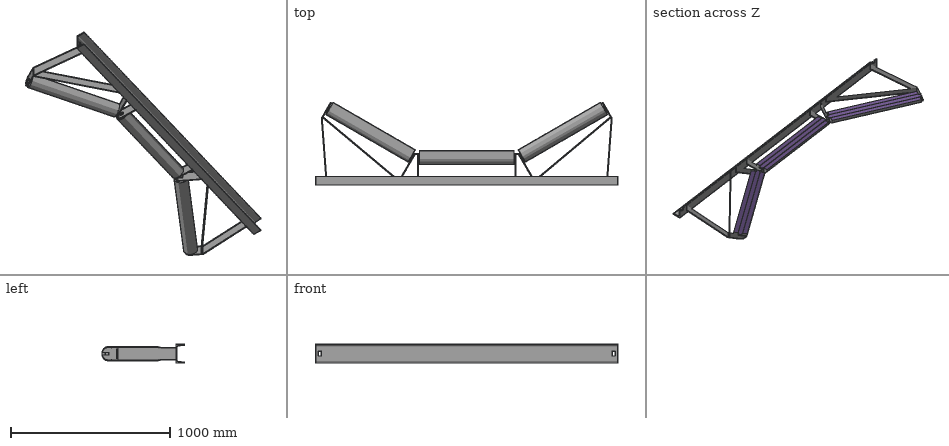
import cadquery as cq
import math


BEAM_LENGTH = 1900.0
BEAM_HEIGHT = 120.0
BEAM_DEPTH = 55.0
WEB_THICKNESS = 8.0
FLANGE_ROOT = 11.0
FLANGE_TIP = 8.0
ROOT_RADIUS = 8.0
TIP_RADIUS = 4.0

SLOT_WIDTH = 17.0
SLOT_HEIGHT = 28.0
SLOT_END_DISTANCE = 27.0

ROLLER_LENGTH = 597.0
ROLLER_DIAMETER = 90.0
SHAFT_RADIUS = 12.4
SHAFT_FLATS = 17.0
CENTRE_AXIS_Y = 173.0
SIDE_CENTRE_X = 605.0
SIDE_CENTRE_Y = 332.0
TROUGH_ANGLE = 30.0

STRIP_WIDTH = 76.0
STRUT_WIDTH = 60.0
STRIP_THICKNESS = 6.0
CENTRE_GAP = 4.0
SIDE_GAP = 8.0
BRIDGE_Y = 195.0
BEND_DROP = 78.0
STRUT_DROP = 68.0
POST_FOOT_X = 884.0
STRUT_FOOT_X = 456.0
WELD_DEPTH = 4.0

FOOT_Y = BEAM_DEPTH - WELD_DEPTH
CENTRE_PLATE_OFFSET = ROLLER_LENGTH / 2 + CENTRE_GAP + STRIP_THICKNESS / 2
SIDE_PLATE_OFFSET = ROLLER_LENGTH / 2 + SIDE_GAP + STRIP_THICKNESS / 2
COS_TROUGH = math.cos(math.radians(TROUGH_ANGLE))
SIN_TROUGH = math.sin(math.radians(TROUGH_ANGLE))


def place_on_right(body):
    """Move a body from the origin, axis along X, to the tilted right-hand roller axis."""
    tilted = body.rotate((0, 0, 0), (0, 0, 1), TROUGH_ANGLE)
    return tilted.translate((SIDE_CENTRE_X, SIDE_CENTRE_Y, 0))


def right_point(along, across):
    """Point (x, y) at a distance along and across the right-hand roller axis."""
    x = SIDE_CENTRE_X + along * COS_TROUGH - across * SIN_TROUGH
    y = SIDE_CENTRE_Y + along * SIN_TROUGH + across * COS_TROUGH
    return x, y


def cylinder(radius, length):
    """Solid cylinder centred on the origin with its axis along X."""
    return cq.Workplane("YZ").circle(radius).extrude(length).translate((-length / 2, 0, 0))


def mirrored(body):
    """The left-hand copy of a right-hand body."""
    return body.mirror("YZ")


def make_roller():
    """Roller bored for its shaft, centred on the origin with its axis along X."""
    return cylinder(ROLLER_DIAMETER / 2, ROLLER_LENGTH).cut(cylinder(SHAFT_RADIUS, ROLLER_LENGTH))


def make_shaft(gap):
    """Round shaft, flattened outside the roller where it spans the gap and the bracket plate."""
    end_length = gap + STRIP_THICKNESS
    shaft = cylinder(SHAFT_RADIUS, ROLLER_LENGTH + 2 * end_length)
    end_middle = (ROLLER_LENGTH + end_length) / 2
    flat_depth = SHAFT_RADIUS - SHAFT_FLATS / 2
    flat_middle = SHAFT_FLATS / 2 + flat_depth / 2
    for end in (-1, 1):
        for side in (-1, 1):
            flat = cq.Workplane("XY").box(end_length, 2 * SHAFT_RADIUS, flat_depth)
            shaft = shaft.cut(flat.translate((end * end_middle, 0, side * flat_middle)))
    return shaft


def make_strip(points, width):
    """Flat strip folded along a path in the XY plane, with round outer bends."""
    strip = None
    for start, end in zip(points, points[1:]):
        run = math.dist(start, end)
        angle = math.degrees(math.atan2(end[1] - start[1], end[0] - start[0]))
        leg = (
            cq.Workplane("XY")
            .box(run, STRIP_THICKNESS, width, centered=(False, True, True))
            .rotate((0, 0, 0), (0, 0, 1), angle)
            .translate((start[0], start[1], 0))
        )
        strip = leg if strip is None else strip.union(leg)
    for x, y in points[1:-1]:
        bend = cq.Workplane("XY").circle(STRIP_THICKNESS / 2).extrude(width)
        strip = strip.union(bend.translate((x, y, -width / 2)))
    return strip


def make_beam():
    """Channel with tapered flanges, rounded roots and tips, and a mounting slot at each end."""
    half_height = BEAM_HEIGHT / 2
    web_face = BEAM_DEPTH - WEB_THICKNESS
    section = [
        (BEAM_DEPTH, -half_height),
        (BEAM_DEPTH, half_height),
        (0, half_height),
        (0, half_height - FLANGE_TIP),
        (web_face, half_height - FLANGE_ROOT),
        (web_face, FLANGE_ROOT - half_height),
        (0, FLANGE_TIP - half_height),
        (0, -half_height),
    ]
    beam = cq.Workplane("YZ").polyline(section).close().extrude(BEAM_LENGTH)
    beam = beam.translate((-BEAM_LENGTH / 2, 0, 0))
    for side in (-1, 1):
        root = (0, web_face, side * (half_height - FLANGE_ROOT))
        tip = (0, 0, side * (half_height - FLANGE_TIP))
        beam = beam.edges(cq.selectors.NearestToPointSelector(root)).fillet(ROOT_RADIUS)
        beam = beam.edges(cq.selectors.NearestToPointSelector(tip)).fillet(TIP_RADIUS)
        slot = cq.Workplane("XY").box(SLOT_WIDTH, 2 * BEAM_DEPTH, SLOT_HEIGHT)
        beam = beam.cut(slot.translate((side * (BEAM_LENGTH / 2 - SLOT_END_DISTANCE), BEAM_DEPTH, 0)))
    return beam


def make_inner_bracket():
    """Folded strip that carries the centre roller and the low end of the right-hand roller."""
    low_end_y = right_point(-SIDE_PLATE_OFFSET, 0)[1]
    bridge_rise = (BRIDGE_Y - low_end_y) / COS_TROUGH
    foot_drop = (low_end_y - FOOT_Y) / COS_TROUGH
    path = [
        (CENTRE_PLATE_OFFSET, FOOT_Y),
        (CENTRE_PLATE_OFFSET, BRIDGE_Y),
        right_point(-SIDE_PLATE_OFFSET, bridge_rise),
        right_point(-SIDE_PLATE_OFFSET, -foot_drop),
    ]
    return make_strip(path, STRIP_WIDTH)


def make_outer_bracket():
    """Bent post and strut with a round, slotted top for the high end of the right-hand shaft."""
    bend = right_point(SIDE_PLATE_OFFSET, -BEND_DROP)
    bracket = make_strip([(POST_FOOT_X, FOOT_Y), bend, right_point(SIDE_PLATE_OFFSET, 0)], STRIP_WIDTH)
    strut = make_strip([right_point(SIDE_PLATE_OFFSET, -STRUT_DROP), (STRUT_FOOT_X, FOOT_Y)], STRUT_WIDTH)
    top = cylinder(STRIP_WIDTH / 2, STRIP_THICKNESS)
    slot = cq.Workplane("XY").box(
        2 * STRIP_THICKNESS, STRIP_WIDTH, SHAFT_FLATS, centered=(True, False, True)
    )
    bracket = bracket.union(strut).union(place_on_right(top.translate((SIDE_PLATE_OFFSET, 0, 0))))
    return bracket.cut(place_on_right(slot.translate((SIDE_PLATE_OFFSET, 0, 0))))


centre_place = (0, CENTRE_AXIS_Y, 0)
right_roller = place_on_right(make_roller())
right_shaft = place_on_right(make_shaft(SIDE_GAP))
rollers = [make_roller().translate(centre_place), right_roller, mirrored(right_roller)]
shafts = [make_shaft(CENTRE_GAP).translate(centre_place), right_shaft, mirrored(right_shaft)]

frame = make_beam()
for bracket in (make_inner_bracket(), make_outer_bracket()):
    frame = frame.union(bracket).union(mirrored(bracket))
for shaft in shafts:
    frame = frame.cut(shaft)

result = cq.Compound.makeCompound([body.val() for body in [frame, *rollers, *shafts]])